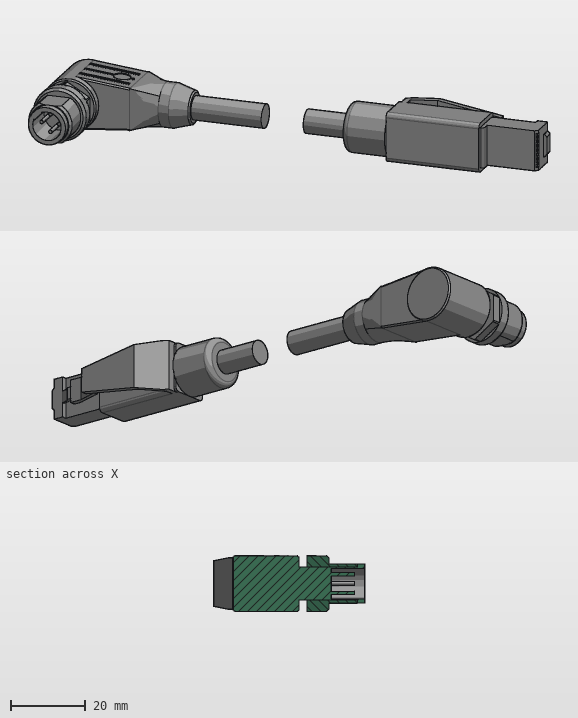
import cadquery as cq
import math


CABLE_RADIUS = 3.3
NEAR_CABLE_END = 52.0
FAR_CABLE_START = 64.0

HEAD_RADIUS = 7.5
HEAD_FRONT = -10.0
HEAD_BACK = 7.6
HEAD_CHAMFER = 0.4
ARM_START = 0.8
ARM_END = 16.2
ARM_HALF_WIDTH = 7.5
ARM_END_HALF_HEIGHT = 6.0
ARM_CHAMFER = 0.4
GRIP_START = 23.8
GRIP_CONE_START = 26.7
GRIP_END = 32.1
GRIP_DIAMETER = 12.3
GRIP_END_RADIUS = 4.5
GRIP_END_CHAMFER = 0.4

GROOVE_DEPTH = 0.3
SIDE_GROOVE_OFFSET = 4.0
SIDE_GROOVE_WIDTH = 1.1
SIDE_GROOVE_END = 15.0
DIMPLE_X = 7.5
DIMPLE_DIAMETER = 0.7
DIMPLE_DEPTH = 0.8
MIDDLE_GROOVE_WIDTH = 0.8
DISC_X = 11.5
DISC_RADIUS = 2.4
DOT_X = 14.5
DOT_RADIUS = 0.48

NUT_BACK = -12.0
RING_BACK = -14.5
RING_FRONT = -18.0
RING_RADIUS = HEAD_RADIUS
RING_CHAMFER = 0.7
SLEEVE_FRONT = -25.5
SLEEVE_DIAMETER = 12.3
SLEEVE_CHAMFER = 0.7
HEX_SIDES = 6
HEX_WIDTH = 13.2

NECK_RADIUS = 4.4
TIP_FRONT = -27.5
TIP_RADIUS = 5.3
SOCKET_RADIUS = 4.0
SOCKET_DEPTH = 9.0
CONTACT_COUNT = 4
CONTACT_RADIUS = 0.48
CONTACT_CIRCLE_RADIUS = 2.5
CONTACT_RECESS = 2.8
KEY_ANGLE = 135
KEY_WIDTH = 3.0
KEY_HEIGHT = 0.5

BOOT_START = 76.1
BOOT_END = 88.3
BOOT_RADIUS = 6.9
BOOT_FILLET = 1.5
CASE_END = 114.6
CASE_WIDTH = 11.4
CASE_HEIGHT = 13.8
CASE_FILLET = 1.2

LEVER_START = 89.0
LEVER_BEND = 90.7
LEVER_STRAIGHT = 96.9
LEVER_END = 114.9
LEVER_TOP = 12.9
LEVER_THICKNESS = 1.8
LEVER_BACK_TOP = 7.8
LEVER_INNER_FOOT = 6.8
LEVER_BASE_HALF_WIDTH = 6.9
LEVER_BEND_HALF_WIDTH = 6.1
LEVER_END_HALF_WIDTH = 3.3

PLUG_TOP = 4.5
PLUG_BOTTOM = -2.1
PLUG_END = 130.0
PLUG_HALF_HEIGHT = 5.7
PLUG_CHAMFER = 0.8
FLANGE_END = 115.7
FLANGE_BOTTOM = -4.5
FLANGE_FILLET = 0.7
SLOT_COUNT = 8
SLOT_PITCH = 1.2
SLOT_WIDTH = 0.8
SLOT_LENGTH = 0.5
SLOT_DEPTH = 1.4

LATCH_HALF_WIDTH = 3.2
LATCH_NECK_HALF_WIDTH = 1.7
HANDLE_START = 112.7
HANDLE_TIP_BOTTOM = 8.9
HANDLE_TIP_TOP = 10.0
HANDLE_TIP_SHIFT = 0.4
HANDLE_BEND = 120.7
HANDLE_BEND_SHIFT = 1.7
SHOULDER = 122.6
SHOULDER_BOTTOM = 6.4
SHOULDER_TOP = 8.0
NECK_TOP = 7.2
NECK_RAMP_START = 124.3
NECK_RAMP_END = 125.1
NECK_RAMP_BOTTOM = 6.5
NECK_ROOT_BOTTOM = 5.3
NOSE_START = 127.1
NOSE_TOP = 6.0
TAB_TOP_END = 130.7
TAB_END = 131.0
TAB_BOTTOM = 2.8
TAB_CHAMFER = 0.7


def rod_x(start, end, radius):
    """Cylinder on the cable axis."""
    return cq.Workplane("YZ", origin=(start, 0, 0)).circle(radius).extrude(end - start)


def rod_y(back, front, radius):
    """Cylinder on the axis of the angled plug."""
    return cq.Workplane("XZ", origin=(0, back, 0)).circle(radius).extrude(back - front)


def slab(points, half_height):
    """Outline in X and Y, extruded to both sides of the cable axis."""
    return cq.Workplane("XY").polyline(points).close().extrude(half_height, both=True)


def box_between(x_range, y_range, z_range):
    """Box given by its lowest and highest X, Y and Z."""
    low, high = zip(x_range, y_range, z_range)
    size = [b - a for a, b in zip(low, high)]
    return cq.Workplane("XY").box(*size, centered=False).translate(low)


GRIP_RADIUS = GRIP_DIAMETER / 2
ARM_START_HALF_HEIGHT = math.sqrt(HEAD_RADIUS**2 - ARM_START**2)


def tapered_arm():
    """Arm that gets thinner from the head to the grip."""
    outline = [
        (ARM_START, -ARM_START_HALF_HEIGHT),
        (ARM_END, -ARM_END_HALF_HEIGHT),
        (ARM_END, ARM_END_HALF_HEIGHT),
        (ARM_START, ARM_START_HALF_HEIGHT),
    ]
    arm = cq.Workplane("XZ").polyline(outline).close().extrude(ARM_HALF_WIDTH, both=True)
    reach = 2 * HEAD_RADIUS
    long_edges = cq.selectors.BoxSelector(
        (ARM_START + ARM_CHAMFER, -reach, -reach),
        (ARM_END - ARM_CHAMFER, reach, reach),
    )
    return arm.faces(">Y or <Y").edges(long_edges).chamfer(ARM_CHAMFER)


def arm_to_grip():
    """Transition from the rectangular end of the arm to the round grip."""
    corner = math.atan2(ARM_END_HALF_HEIGHT, ARM_HALF_WIDTH)
    corners = [corner, math.pi - corner, math.pi + corner, 2 * math.pi - corner, 2 * math.pi + corner]

    def on_grip(angle):
        return cq.Vector(GRIP_START, GRIP_RADIUS * math.cos(angle), GRIP_RADIUS * math.sin(angle))

    arcs = [
        cq.Edge.makeThreePointArc(on_grip(a), on_grip((a + b) / 2), on_grip(b))
        for a, b in zip(corners, corners[1:])
    ]
    signs = [(1, 1), (-1, 1), (-1, -1), (1, -1)]
    rectangle = cq.Wire.makePolygon(
        [cq.Vector(ARM_END, y * ARM_HALF_WIDTH, z * ARM_END_HALF_HEIGHT) for y, z in signs], close=True
    )
    return cq.Workplane(cq.Solid.makeLoft([rectangle, cq.Wire.assembleEdges(arcs)], True))


def grip():
    """Round grip with a conical end."""
    outline = [
        (GRIP_START, 0),
        (GRIP_START, GRIP_RADIUS),
        (GRIP_CONE_START, GRIP_RADIUS),
        (GRIP_END, GRIP_END_RADIUS),
        (GRIP_END, 0),
    ]
    cone = cq.Workplane("XY").polyline(outline).close().revolve(360, (0, 0, 0), (1, 0, 0))
    return cone.faces(">X").chamfer(GRIP_END_CHAMFER)


def arm_top_plane():
    """Workplane on the sloping top of the arm, with its origin at the start of the arm."""
    slope = math.atan2(ARM_START_HALF_HEIGHT - ARM_END_HALF_HEIGHT, ARM_END - ARM_START)
    plane = cq.Plane(
        origin=(ARM_START, 0, ARM_START_HALF_HEIGHT),
        xDir=(math.cos(slope), 0, -math.sin(slope)),
        normal=(math.sin(slope), 0, math.cos(slope)),
    )
    return cq.Workplane(plane)


def arm_grooves():
    """Cutter for the grooves, dimples and disc mark in the top of the arm."""
    top = arm_top_plane()
    side_length = SIDE_GROOVE_END - ARM_START
    side_centers = [(side_length / 2, side * SIDE_GROOVE_OFFSET) for side in (-1, 1)]
    cutter = top.pushPoints(side_centers).rect(side_length, SIDE_GROOVE_WIDTH).extrude(-GROOVE_DEPTH)
    dimples = [(DIMPLE_X - ARM_START, side * SIDE_GROOVE_OFFSET) for side in (-1, 1)]
    cutter = cutter.union(
        top.pushPoints(dimples).circle(DIMPLE_DIAMETER / 2).extrude(-DIMPLE_DEPTH)
    )
    middle_length = DISC_X - ARM_START
    cutter = cutter.union(
        top.center(middle_length / 2, 0).rect(middle_length, MIDDLE_GROOVE_WIDTH).extrude(-GROOVE_DEPTH)
    )
    for x, radius in ((DISC_X, DISC_RADIUS), (DOT_X, DOT_RADIUS)):
        cutter = cutter.union(top.center(x - ARM_START, 0).circle(radius).extrude(-GROOVE_DEPTH))
    return cutter


def contact_carrier():
    """Neck and tip with the contact pins standing in the socket."""
    carrier = rod_y(HEAD_FRONT, SLEEVE_FRONT, NECK_RADIUS).union(rod_y(SLEEVE_FRONT, TIP_FRONT, TIP_RADIUS))
    floor = TIP_FRONT + SOCKET_DEPTH
    carrier = carrier.cut(rod_y(floor, TIP_FRONT, SOCKET_RADIUS))
    pins = (
        cq.Workplane("XZ", origin=(0, floor, 0))
        .polarArray(CONTACT_CIRCLE_RADIUS, 0, 360, CONTACT_COUNT)
        .circle(CONTACT_RADIUS)
        .extrude(SOCKET_DEPTH - CONTACT_RECESS)
    )
    key = box_between(
        (SOCKET_RADIUS - KEY_HEIGHT, NECK_RADIUS),
        (TIP_FRONT, floor),
        (-KEY_WIDTH / 2, KEY_WIDTH / 2),
    ).rotate((0, 0, 0), (0, 1, 0), -KEY_ANGLE)
    key = key.intersect(rod_y(floor, TIP_FRONT, NECK_RADIUS))
    return carrier.union(pins).union(key)


def make_angled_housing():
    head = rod_y(HEAD_BACK, HEAD_FRONT, HEAD_RADIUS).faces("<Y or >Y").chamfer(HEAD_CHAMFER)
    housing = head.union(tapered_arm()).union(arm_to_grip()).union(grip())
    housing = housing.union(rod_x(GRIP_END, NEAR_CABLE_END, CABLE_RADIUS))
    return housing.cut(arm_grooves()).union(contact_carrier())


SLEEVE_RADIUS = SLEEVE_DIAMETER / 2


def make_coupling_nut():
    hexagon = (
        cq.Workplane("XZ", origin=(0, NUT_BACK, 0))
        .transformed(rotate=(0, 0, 90))
        .polygon(HEX_SIDES, HEX_WIDTH / math.cos(math.pi / HEX_SIDES))
        .extrude(NUT_BACK - RING_BACK)
        .intersect(rod_y(NUT_BACK, RING_BACK, RING_RADIUS))
    )
    ring = rod_y(RING_BACK, RING_FRONT, RING_RADIUS).faces("<Y").chamfer(RING_CHAMFER)
    sleeve = rod_y(RING_FRONT, SLEEVE_FRONT, SLEEVE_RADIUS).faces("<Y").chamfer(SLEEVE_CHAMFER)
    flats = box_between(
        (-SLEEVE_RADIUS, SLEEVE_RADIUS), (SLEEVE_FRONT, RING_FRONT), (-TIP_RADIUS, TIP_RADIUS)
    )
    nut = hexagon.union(ring).union(sleeve.intersect(flats))
    return nut.cut(rod_y(NUT_BACK, SLEEVE_FRONT, NECK_RADIUS))


def guard_lever():
    """Lever that rises from the case and covers the latch."""
    inner_top = LEVER_TOP - LEVER_THICKNESS
    rise = (LEVER_TOP - LEVER_BACK_TOP) / (LEVER_STRAIGHT - LEVER_START)
    bend_top = LEVER_BACK_TOP + rise * (LEVER_BEND - LEVER_START)
    base = slab(
        [(LEVER_START, 0), (LEVER_BEND, 0), (LEVER_BEND, bend_top), (LEVER_START, LEVER_BACK_TOP)],
        LEVER_BASE_HALF_WIDTH,
    )
    arm = slab(
        [
            (LEVER_BEND, LEVER_INNER_FOOT),
            (LEVER_STRAIGHT, inner_top),
            (LEVER_END, inner_top),
            (LEVER_END, LEVER_TOP),
            (LEVER_STRAIGHT, LEVER_TOP),
            (LEVER_BEND, bend_top),
        ],
        LEVER_BASE_HALF_WIDTH,
    )
    taper = [
        (LEVER_BEND, -LEVER_BASE_HALF_WIDTH),
        (LEVER_STRAIGHT, -LEVER_BEND_HALF_WIDTH),
        (LEVER_END, -LEVER_END_HALF_WIDTH),
        (LEVER_END, LEVER_END_HALF_WIDTH),
        (LEVER_STRAIGHT, LEVER_BEND_HALF_WIDTH),
        (LEVER_BEND, LEVER_BASE_HALF_WIDTH),
    ]
    arm = arm.intersect(cq.Workplane("XZ").polyline(taper).close().extrude(LEVER_TOP * 2, both=True))
    return base.union(arm)


def make_boot_housing():
    boot = rod_x(BOOT_START, BOOT_END, BOOT_RADIUS).faces("<X").edges().fillet(BOOT_FILLET)
    case = box_between(
        (BOOT_END, CASE_END), (-CASE_WIDTH / 2, CASE_WIDTH / 2), (-CASE_HEIGHT / 2, CASE_HEIGHT / 2)
    )
    case = case.edges("|X").fillet(CASE_FILLET)
    cable = rod_x(FAR_CABLE_START, BOOT_START, CABLE_RADIUS)
    return cable.union(boot).union(case).union(guard_lever())


def latch():
    """Spring latch: wide handle, narrow neck, and the nose with its tab at the front."""
    handle = slab(
        [
            (HANDLE_START, HANDLE_TIP_BOTTOM),
            (HANDLE_BEND, SHOULDER_BOTTOM),
            (SHOULDER, SHOULDER_BOTTOM),
            (SHOULDER, SHOULDER_TOP),
            (HANDLE_BEND - HANDLE_BEND_SHIFT, SHOULDER_TOP),
            (HANDLE_START + HANDLE_TIP_SHIFT, HANDLE_TIP_TOP),
        ],
        LATCH_HALF_WIDTH,
    )
    neck = slab(
        [
            (SHOULDER, SHOULDER_BOTTOM),
            (NOSE_START, NECK_ROOT_BOTTOM),
            (NOSE_START, NOSE_TOP),
            (NECK_RAMP_END, NECK_RAMP_BOTTOM),
            (NECK_RAMP_START, NECK_TOP),
            (SHOULDER, NECK_TOP),
        ],
        LATCH_NECK_HALF_WIDTH,
    )
    nose = box_between(
        (NOSE_START, PLUG_END), (PLUG_TOP, NOSE_TOP), (-PLUG_HALF_HEIGHT, PLUG_HALF_HEIGHT)
    )
    tab = slab(
        [(NOSE_START, TAB_BOTTOM), (TAB_END, TAB_BOTTOM), (TAB_TOP_END, NOSE_TOP), (NOSE_START, NOSE_TOP)],
        LATCH_HALF_WIDTH,
    )
    tab = tab.faces(">X").edges("<Z or >Z").chamfer(TAB_CHAMFER)
    return handle.union(neck).union(nose).union(tab)


def make_modular_plug():
    body = box_between(
        (CASE_END, PLUG_END), (PLUG_BOTTOM, PLUG_TOP), (-PLUG_HALF_HEIGHT, PLUG_HALF_HEIGHT)
    )
    body = body.faces(">X").edges("<Y").chamfer(PLUG_CHAMFER)
    flange = box_between(
        (CASE_END, FLANGE_END), (FLANGE_BOTTOM, PLUG_TOP), (-PLUG_HALF_HEIGHT, PLUG_HALF_HEIGHT)
    )
    flange = flange.faces(">X").edges("<Y").fillet(FLANGE_FILLET)
    slots = (
        cq.Workplane("XZ", origin=(PLUG_END - SLOT_LENGTH / 2, PLUG_BOTTOM, 0))
        .rarray(1.4, SLOT_PITCH, 1, SLOT_COUNT)
        .rect(SLOT_LENGTH, SLOT_WIDTH)
        .extrude(-SLOT_DEPTH)
    )
    return body.union(flange).cut(slots).union(latch())


angled_housing = make_angled_housing()
coupling_nut = make_coupling_nut()
boot_housing = make_boot_housing()
modular_plug = make_modular_plug()

result = cq.Compound.makeCompound(
    [angled_housing.val(), coupling_nut.val(), boot_housing.val(), modular_plug.val()]
)